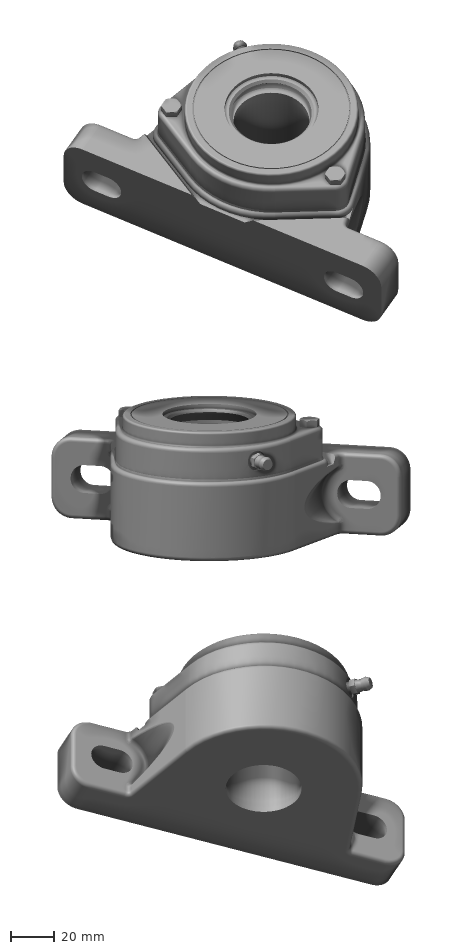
import cadquery as cq
import math


FOOT_LENGTH = 167.0
FOOT_FACE_Y = -47.3
FOOT_THICKNESS = 17.9
FOOT_HEIGHT = 38.4
FOOT_CORNER_RADIUS = 9.9
FOOT_BACK_Y = FOOT_FACE_Y + FOOT_THICKNESS
SLOT_SPACING = 127.3
SLOT_LENGTH = 20.7
SLOT_WIDTH = 13.2
SLOT_Z = FOOT_HEIGHT / 2

CAP_RADIUS = 43.3
BOLT_X = 43.1
BOLT_Y = -17.5
CAP_LOBE_RADIUS = 6.2
BODY_MARGIN = 2.3
BODY_RADIUS = CAP_RADIUS + BODY_MARGIN
BODY_LOBE_RADIUS = CAP_LOBE_RADIUS + BODY_MARGIN
CAP_Z = 37.4
CAP_TOP_Z = 53.0
EDGE_RADIUS = 2.0
FOOT_NECK_RADIUS = 2.3
CAP_FLARE = 0.3
CAP_FLARE_HEIGHT = 1.0

POCKET_FLOOR_Z = 34.4
POCKET_GAP = 1.0
POCKET_WALL_SLOPE = 30.0

SCOOP_RADIUS = 14.7
SCOOP_X = 61.0
SCOOP_EDGE_RADIUS = 1.0

TOP_Z = 60.0
RING_RADIUS = 40.0
RING_EDGE_RADIUS = 1.0
RING_FLARE = 0.8
GROOVE_RADIUS = 36.5
GROOVE_WIDTH = 0.7
GROOVE_DEPTH = 0.7

INSERT_RADIUS = 51.0 / 2
BORE_RADIUS = 35.0 / 2
MOUTH_RADIUS = 43.5 / 2
MOUTH_DEPTH = 2.0
LIP_CHAMFER = 1.2
LIP_RADIUS = 18.5
LIP_DEPTH = MOUTH_DEPTH + LIP_CHAMFER
UNDERCUT_RADIUS = 44.6 / 2
UNDERCUT_DEPTH = 7.7
SHOULDER_RADIUS = 20.5
SHOULDER_DEPTH = 9.0

BOLT_HEAD_WIDTH = 8.4
BOLT_HEAD_HEIGHT = 3.5
BOLT_HEAD_BEVEL = 30.0
BOLT_SHANK_DIAMETER = 5.0
BOLT_SHANK_LENGTH = 25.0

NIPPLE_ANGLE = 135.0
NIPPLE_Z = 46.1
SPOTFACE_DIAMETER = 9.2
SPOTFACE_STATION = 42.3
NIPPLE_STEM_DIAMETER = 6.0
NIPPLE_HEX_CORNERS = 7.8
NIPPLE_HEX_BASE_STATION = 44.1
NIPPLE_HEX_STATION = 46.8
NIPPLE_NECK_STATION = 49.6
NIPPLE_BEAD_STATION = 51.6
NIPPLE_TIP_STATION = 53.5
NIPPLE_COLLAR_RADIUS = 3.2
NIPPLE_NECK_RADIUS = 2.7
NIPPLE_BEAD_BACK_RADIUS = 3.0
NIPPLE_BEAD_RADIUS = 3.3
NIPPLE_TIP_RADIUS = 2.5

HEX_SIDES = 6

SELECTION_MARGIN = 0.2

BOLT_DIRECTION = math.atan2(BOLT_Y, BOLT_X)
TANGENT_SWING = math.acos((CAP_RADIUS - CAP_LOBE_RADIUS) / math.hypot(BOLT_X, BOLT_Y))
FLANK_ANGLE = BOLT_DIRECTION + TANGENT_SWING
FRONT_ANGLE = BOLT_DIRECTION - TANGENT_SWING


def on_circle(radius, angle, center=(0, 0)):
    return (center[0] + radius * math.cos(angle), center[1] + radius * math.sin(angle))


def mirrored(point):
    return (-point[0], point[1])


def lobed_outline(z, radius, lobe_radius):
    """Closed outline round the big circle and the two bolt circles, at height z."""
    bolt = (BOLT_X, BOLT_Y)
    flank_start = on_circle(radius, FLANK_ANGLE)
    flank_end = on_circle(lobe_radius, FLANK_ANGLE, bolt)
    lobe_middle = on_circle(lobe_radius, BOLT_DIRECTION, bolt)
    front_start = on_circle(lobe_radius, FRONT_ANGLE, bolt)
    front_end = on_circle(radius, FRONT_ANGLE)
    return (
        cq.Workplane("XY", origin=(0, 0, z))
        .moveTo(*flank_start)
        .lineTo(*flank_end)
        .threePointArc(lobe_middle, front_start)
        .lineTo(*front_end)
        .threePointArc((0, -radius), mirrored(front_end))
        .lineTo(*mirrored(front_start))
        .threePointArc(mirrored(lobe_middle), mirrored(flank_end))
        .lineTo(*mirrored(flank_start))
        .threePointArc((0, radius), flank_start)
        .close()
    )


def cylinder(radius, z_start, z_end):
    return cq.Workplane("XY", origin=(0, 0, z_start)).circle(radius).extrude(z_end - z_start)


def nipple_plane(station):
    """Plane across the nipple axis, facing outward; its x axis points up."""
    angle = math.radians(NIPPLE_ANGLE)
    x, y = on_circle(station, angle)
    return cq.Plane(origin=(x, y, NIPPLE_Z), xDir=(0, 0, 1), normal=(math.cos(angle), math.sin(angle), 0))


def bolt_holes():
    return (
        cq.Workplane("XY", origin=(0, 0, CAP_TOP_Z))
        .pushPoints([(-BOLT_X, BOLT_Y), (BOLT_X, BOLT_Y)])
        .circle(BOLT_SHANK_DIAMETER / 2)
        .extrude(-BOLT_SHANK_LENGTH)
    )


def flank_scoops():
    return (
        cq.Workplane("XZ", origin=(0, FOOT_FACE_Y, 0))
        .pushPoints([(-SCOOP_X, SLOT_Z), (SCOOP_X, SLOT_Z)])
        .circle(SCOOP_RADIUS)
        .extrude(FOOT_FACE_Y - BODY_RADIUS)
    )


def scooped_body():
    """Round body with straight flanks that run into the foot, scooped where the flanks pass the slots."""
    flank_start = on_circle(BODY_RADIUS, FLANK_ANGLE)
    flank_end_y = FOOT_BACK_Y - FOOT_THICKNESS / 2
    flank_end_x = (BODY_RADIUS - flank_end_y * math.sin(FLANK_ANGLE)) / math.cos(FLANK_ANGLE)
    flank_end = (flank_end_x, flank_end_y)
    return (
        cq.Workplane("XY")
        .moveTo(*flank_start)
        .lineTo(*flank_end)
        .lineTo(*mirrored(flank_end))
        .lineTo(*mirrored(flank_start))
        .threePointArc((0, BODY_RADIUS), flank_start)
        .close()
        .extrude(FOOT_HEIGHT)
        .cut(flank_scoops())
        .edges("%ELLIPSE")
        .fillet(SCOOP_EDGE_RADIUS)
    )


def foot_plate():
    return (
        cq.Workplane("XY")
        .box(FOOT_LENGTH, FOOT_THICKNESS, FOOT_HEIGHT, centered=(True, False, False))
        .translate((0, FOOT_FACE_Y, 0))
        .edges("|Y")
        .fillet(FOOT_CORNER_RADIUS)
    )


def foot_and_body():
    """Foot and body in one block, with rounded inner corners and rounded edges behind the foot face."""
    half_length = FOOT_LENGTH / 2
    straight_end = half_length - FOOT_CORNER_RADIUS
    bottom = -SELECTION_MARGIN
    top = FOOT_HEIGHT + SELECTION_MARGIN
    back_start = FOOT_BACK_Y - SELECTION_MARGIN
    back_end = FOOT_BACK_Y + SELECTION_MARGIN
    inner_corners = cq.selectors.BoxSelector(
        (-straight_end, back_start, bottom), (straight_end, back_end, top)
    )
    behind_foot = cq.selectors.BoxSelector(
        (-half_length, back_start, bottom), (half_length, BODY_RADIUS, top)
    )
    return (
        foot_plate()
        .union(scooped_body())
        .edges("|Z")
        .edges(inner_corners)
        .fillet(FOOT_NECK_RADIUS)
        .edges("<Z or >Z")
        .edges(behind_foot)
        .fillet(EDGE_RADIUS)
    )


def clearance_pocket():
    """V-shaped pocket whose walls run parallel to the front sides of the cap."""
    wall_distance = BODY_RADIUS + POCKET_GAP
    tip_y = wall_distance / math.sin(FRONT_ANGLE)
    wide_y = BODY_RADIUS
    wide_x = (wall_distance - wide_y * math.sin(FRONT_ANGLE)) / math.cos(FRONT_ANGLE)
    return (
        cq.Workplane("XY", origin=(0, 0, POCKET_FLOOR_Z))
        .polyline([(0, tip_y), (wide_x, wide_y), (-wide_x, wide_y)])
        .close()
        .extrude(FOOT_HEIGHT - POCKET_FLOOR_Z, taper=-POCKET_WALL_SLOPE)
    )


def make_housing():
    slots = (
        cq.Workplane("XZ", origin=(0, FOOT_FACE_Y, 0))
        .pushPoints([(-SLOT_SPACING / 2, SLOT_Z), (SLOT_SPACING / 2, SLOT_Z)])
        .slot2D(SLOT_LENGTH, SLOT_WIDTH)
        .extrude(-FOOT_THICKNESS)
    )
    seat = (
        lobed_outline(POCKET_FLOOR_Z, BODY_RADIUS, BODY_LOBE_RADIUS)
        .extrude(CAP_Z - POCKET_FLOOR_Z)
        .faces(">Z")
        .edges()
        .fillet(EDGE_RADIUS)
    )
    return (
        foot_and_body()
        .cut(clearance_pocket())
        .union(seat)
        .cut(slots)
        .cut(cylinder(BORE_RADIUS, 0, CAP_Z))
        .cut(bolt_holes())
    )


def cap_ring():
    """Ring on the cap with a concave flare at its foot, a rounded rim and a groove in its face."""
    ring = (
        cq.Workplane("XZ")
        .moveTo(0, CAP_TOP_Z)
        .lineTo(RING_RADIUS + RING_FLARE, CAP_TOP_Z)
        .radiusArc((RING_RADIUS, CAP_TOP_Z + RING_FLARE), RING_FLARE)
        .lineTo(RING_RADIUS, TOP_Z)
        .lineTo(0, TOP_Z)
        .close()
        .revolve(360, (0, 0), (0, 1))
        .faces(">Z")
        .edges()
        .fillet(RING_EDGE_RADIUS)
    )
    groove_floor_z = TOP_Z - GROOVE_DEPTH
    groove = cylinder(GROOVE_RADIUS, groove_floor_z, TOP_Z).cut(
        cylinder(GROOVE_RADIUS - GROOVE_WIDTH, groove_floor_z, TOP_Z)
    )
    return ring.cut(groove)


def make_cap():
    plate = (
        lobed_outline(CAP_Z, CAP_RADIUS, CAP_LOBE_RADIUS)
        .extrude(CAP_TOP_Z - CAP_Z)
        .faces(">Z")
        .edges()
        .fillet(EDGE_RADIUS)
    )
    flare_slope = math.degrees(math.atan2(CAP_FLARE, CAP_FLARE_HEIGHT))
    flare = lobed_outline(CAP_Z, CAP_RADIUS + CAP_FLARE, CAP_LOBE_RADIUS + CAP_FLARE).extrude(
        CAP_FLARE_HEIGHT, taper=flare_slope
    )
    spotface = (
        cq.Workplane(nipple_plane(SPOTFACE_STATION))
        .circle(SPOTFACE_DIAMETER / 2)
        .extrude(CAP_RADIUS - SPOTFACE_STATION)
    )
    return (
        plate.union(flare)
        .union(cap_ring())
        .cut(cylinder(INSERT_RADIUS, CAP_Z, TOP_Z))
        .cut(spotface)
        .cut(bolt_holes())
    )


def make_insert():
    """Bearing insert standing on the housing inside the cap, flush with the top of the ring."""
    return (
        cq.Workplane("XZ")
        .polyline(
            [
                (INSERT_RADIUS, CAP_Z),
                (INSERT_RADIUS, TOP_Z),
                (MOUTH_RADIUS, TOP_Z),
                (MOUTH_RADIUS, TOP_Z - MOUTH_DEPTH),
                (LIP_RADIUS + LIP_CHAMFER, TOP_Z - MOUTH_DEPTH),
                (LIP_RADIUS, TOP_Z - LIP_DEPTH),
                (UNDERCUT_RADIUS, TOP_Z - UNDERCUT_DEPTH),
                (SHOULDER_RADIUS, TOP_Z - SHOULDER_DEPTH),
                (BORE_RADIUS, TOP_Z - SHOULDER_DEPTH),
                (BORE_RADIUS, CAP_Z),
            ]
        )
        .close()
        .revolve(360, (0, 0), (0, 1))
    )


def make_bolt(x):
    """Hexagon bolt whose head corners are bevelled at the top, with its shank reaching into the housing."""
    head_corners = BOLT_HEAD_WIDTH / math.cos(math.pi / HEX_SIDES)
    bevel_width = (head_corners - BOLT_HEAD_WIDTH) / 2
    bevel_height = bevel_width * math.tan(math.radians(BOLT_HEAD_BEVEL))
    bevelled_round = (
        cq.Workplane("XY")
        .circle(head_corners / 2)
        .extrude(BOLT_HEAD_HEIGHT)
        .faces(">Z")
        .chamfer(bevel_height, bevel_width)
    )
    head = (
        cq.Workplane("XY")
        .polygon(HEX_SIDES, head_corners)
        .extrude(BOLT_HEAD_HEIGHT)
        .rotate((0, 0, 0), (0, 0, 1), 90)
        .intersect(bevelled_round)
    )
    shank = cq.Workplane("XY").circle(BOLT_SHANK_DIAMETER / 2).extrude(-BOLT_SHANK_LENGTH)
    return head.union(shank).translate((x, BOLT_Y, CAP_TOP_Z))


def make_nipple():
    """Grease nipple: stem in the cap, hexagon nut, and spout with a bead behind its tip."""
    stem = (
        cq.Workplane(nipple_plane(SPOTFACE_STATION))
        .circle(NIPPLE_STEM_DIAMETER / 2)
        .extrude(NIPPLE_HEX_BASE_STATION - SPOTFACE_STATION)
    )
    nut = (
        cq.Workplane(nipple_plane(NIPPLE_HEX_BASE_STATION))
        .polygon(HEX_SIDES, NIPPLE_HEX_CORNERS)
        .extrude(NIPPLE_HEX_STATION - NIPPLE_HEX_BASE_STATION)
    )
    spout = (
        cq.Workplane("XZ")
        .polyline(
            [
                (NIPPLE_HEX_STATION, 0),
                (NIPPLE_HEX_STATION, NIPPLE_COLLAR_RADIUS),
                (NIPPLE_NECK_STATION, NIPPLE_NECK_RADIUS),
                (NIPPLE_NECK_STATION, NIPPLE_BEAD_BACK_RADIUS),
                (NIPPLE_BEAD_STATION, NIPPLE_BEAD_RADIUS),
                (NIPPLE_TIP_STATION, NIPPLE_TIP_RADIUS),
                (NIPPLE_TIP_STATION, 0),
            ]
        )
        .close()
        .revolve(360, (0, 0), (1, 0))
        .rotate((0, 0, 0), (0, 0, 1), NIPPLE_ANGLE)
        .translate((0, 0, NIPPLE_Z))
    )
    return stem.union(nut).union(spout)


housing = make_housing()
cap = make_cap()
insert = make_insert()
bolts = [make_bolt(x) for x in (-BOLT_X, BOLT_X)]
nipple = make_nipple()

result = cq.Compound.makeCompound(
    [housing.val(), cap.val(), insert.val(), *[bolt.val() for bolt in bolts], nipple.val()]
)